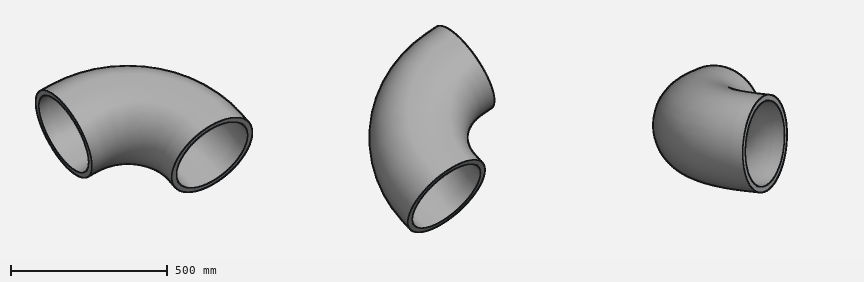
import cadquery as cq

overall_length = 497.5
outer_diameter = 315.0
wall_thickness = 19.0
collar_length = 40.5

outer_radius = outer_diameter / 2
inner_radius = outer_radius - wall_thickness
bend_radius = overall_length - collar_length - outer_radius
bend_angle = 90


def elbow_body(radius):
    """Solid elbow of round section: straight collar, quarter bend, straight collar.

    The first mouth is centred on the origin and faces -Y; the second faces +X.
    """
    first_collar = cq.Workplane("XZ").circle(radius).extrude(-collar_length)
    bend = (
        cq.Workplane("XZ", origin=(0, collar_length, 0))
        .circle(radius)
        .revolve(bend_angle, (bend_radius, 5, 0), (bend_radius, 0, 0))
    )
    second_collar = (
        cq.Workplane("YZ", origin=(bend_radius, collar_length + bend_radius, 0))
        .circle(radius)
        .extrude(collar_length)
    )
    return first_collar.union(bend).union(second_collar)


result = elbow_body(outer_radius).cut(elbow_body(inner_radius))